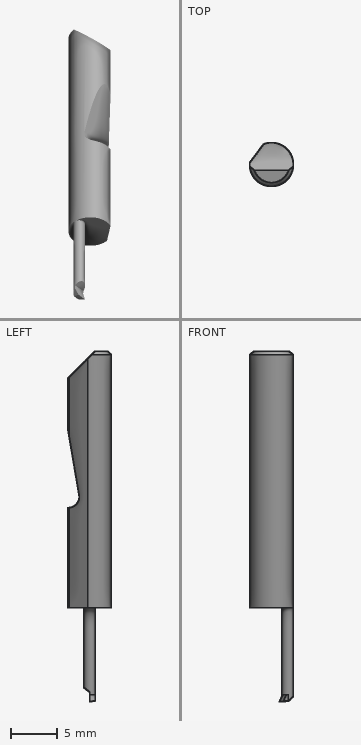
import cadquery as cq
import math

total_length = 38.1
shank_diameter = 4.75
shank_radius = shank_diameter / 2
shank_bottom = 10.2
shank_chamfer = 0.42

slant_start_y = -0.6

flat_distance = 2.02
flat_angle = 143.0

notch_bottom = 21.1
notch_top = 29.75
notch_root_y = 0.9
notch_radius = 1.15

neck_radius = 0.65
neck_x = shank_radius - neck_radius
face_top = 1.05
face_runout_top = 1.6

tooth_height = 0.75
tooth_tip_x = 0.85
tooth_lean = 0.35
tooth_back_x = 1.83
tooth_heel_x = 1.25
tooth_depth = 0.6
bottom_rise = 0.08


def prism_along_x(points):
    """Extrude a Y-Z outline across the whole width of the shank."""
    return cq.Workplane("YZ").polyline(points).close().extrude(shank_radius, both=True)


def make_shank():
    shank = cq.Workplane("XY").workplane(offset=shank_bottom)
    shank = shank.circle(shank_radius).extrude(total_length - shank_bottom)
    shank = shank.faces(">Z").chamfer(shank_chamfer)

    flat_cutter = (
        cq.Workplane("XY")
        .box(shank_diameter, shank_diameter, total_length, centered=(False, True, False))
        .translate((flat_distance, 0, 0))
        .rotate((0, 0, 0), (0, 0, 1), flat_angle)
    )
    slant_run = shank_radius - slant_start_y
    slant_cutter = prism_along_x([
        (slant_start_y, total_length),
        (shank_radius, total_length),
        (shank_radius, total_length - slant_run),
    ])
    notch_cutter = prism_along_x([
        (shank_radius, notch_top),
        (notch_root_y, notch_bottom),
        (shank_radius, notch_bottom),
    ])
    notch_cutter = notch_cutter.edges("<Y").fillet(notch_radius)
    return shank.cut(flat_cutter).cut(slant_cutter).cut(notch_cutter)


def make_neck():
    neck = cq.Workplane("XY").center(neck_x, 0).circle(neck_radius).extrude(shank_bottom)

    face_cutter = prism_along_x([
        (0, 0),
        (neck_radius, 0),
        (neck_radius, face_runout_top),
        (0, face_top),
    ])
    tooth_space = cq.Workplane("XY").box(
        tooth_back_x, shank_diameter, tooth_height, centered=(False, True, False)
    )
    return neck.cut(face_cutter).cut(tooth_space)


def tooth_section(shift):
    """Plan of the tooth, with its cutting edge and heel moved toward +X by shift."""
    return [
        (tooth_tip_x + shift, 0),
        (tooth_heel_x + shift, -tooth_depth),
        (tooth_back_x, -tooth_depth),
        (tooth_back_x, 0),
    ]


def make_tooth():
    return (
        cq.Workplane("XY")
        .polyline(tooth_section(0))
        .close()
        .workplane(offset=tooth_height)
        .polyline(tooth_section(tooth_lean))
        .close()
        .loft(ruled=True)
    )


def make_end_relief():
    """Bottom clearance away from the tip, and the 45 degree corner below the neck."""
    edge_angle = math.degrees(math.atan(bottom_rise / (tooth_back_x - tooth_tip_x)))
    bottom_angle = math.degrees(math.atan(bottom_rise / tooth_depth))
    bottom_cutter = (
        cq.Workplane("XY")
        .box(2 * shank_diameter, shank_diameter, shank_diameter, centered=(True, True, False))
        .translate((0, 0, -shank_diameter))
        .rotate((0, 0, 0), (1, 0, 0), -bottom_angle)
        .rotate((0, 0, 0), (0, 1, 0), -edge_angle)
        .translate((tooth_tip_x, 0, 0))
    )
    corner_run = shank_radius - tooth_back_x
    corner_cutter = (
        cq.Workplane("XZ")
        .polyline([
            (tooth_back_x, 0),
            (shank_radius, 0),
            (shank_radius, bottom_rise + corner_run),
            (tooth_back_x, bottom_rise),
        ])
        .close()
        .extrude(shank_radius, both=True)
    )
    return bottom_cutter.union(corner_cutter)


cutting_end = make_neck().union(make_tooth()).cut(make_end_relief())
result = make_shank().union(cutting_end)